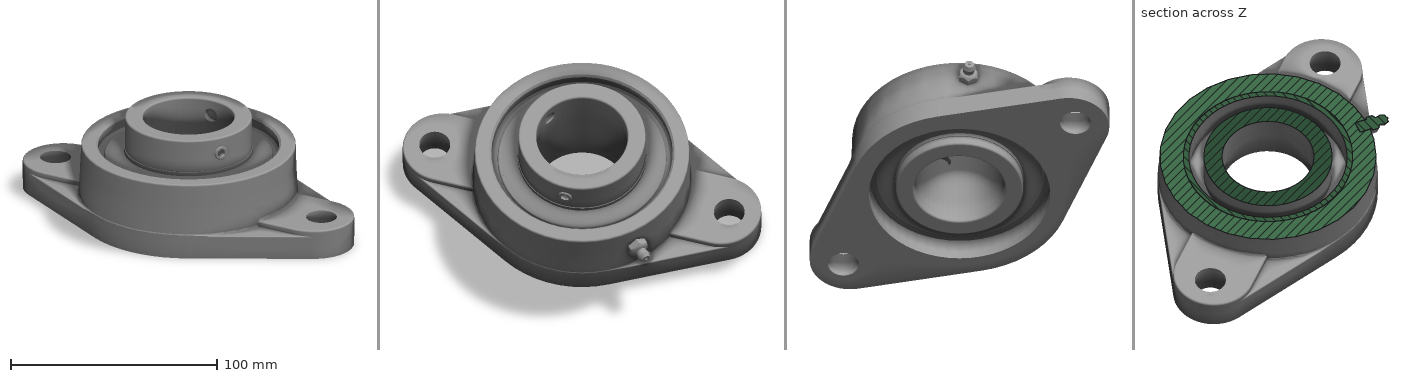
import cadquery as cq
import math


FLANGE_LENGTH = 179.0
WAIST_RADIUS = 53.5
EAR_RADIUS = 19.7
EAR_X = FLANGE_LENGTH / 2 - EAR_RADIUS
PLATE_HEIGHT = 11.8
PLATE_FILLET = 0.5
EAR_HEIGHT = 14.7
BOLT_HOLE_DIAMETER = 15.0
BOLT_HOLE_X = 74.1
CAST_FILLET = 0.9

HUB_RADIUS = 53.3
HUB_TOP = 38.1
HUB_TOP_RADIUS = 52.0
MOUTH_DIAMETER = 88.0
MOUTH_CHAMFER = 0.98
LEDGE_CHAMFER = 1.0

BEARING_Z = 22.0
LEDGE_OFFSET = 9.8
OUTER_RING_DIAMETER = 82.0
OUTER_RING_HALF_WIDTH = 11.0
OUTER_RING_FILLET = 0.9
SEAL_SEAT_DIAMETER = 78.8
OUTER_RING_BORE = 76.6
COLLAR_DIAMETER = 61.8
LAND_DIAMETER = 62.5
LAND_HALF_WIDTH = 13.8
SHAFT_BORE = 44.4
INNER_RING_TOP = 52.3
INNER_RING_BOTTOM = 3.0
INNER_RING_FILLET = 0.9
SEAL_THICKNESS = 1.8
SEAL_RISE = 0.9

SCREW_DIAMETER = 6.8
SCREW_CHAMFER = 0.4
SCREW_Z = 44.2
SCREW_OUTER_END = 31.7
SCREW_INNER_END = 24.5
SCREW_ANGLES = (90.0, -30.0)
SOCKET_FLATS = 4.0
SOCKET_DEPTH = 2.7

NIPPLE_ANGLE = 135.0
NIPPLE_Z = 26.1
NIPPLE_STEM_DIAMETER = 6.0
NIPPLE_STEM_START = 47.5
NIPPLE_HEX_FLATS = 9.0
NIPPLE_HEX_START = 53.2
NIPPLE_HEX_END = 57.1
NIPPLE_HEX_CHAMFER_LENGTH = 1.5
NIPPLE_HEX_FACE_RADIUS = 4.0
NIPPLE_NECK_RADIUS = 2.7
NIPPLE_NECK_START = 57.6
NIPPLE_NECK_END = 58.5
NIPPLE_HEAD_START = 59.0
NIPPLE_HEAD_RADIUS = 3.2
NIPPLE_HEAD_BACK_RADIUS = 2.9
NIPPLE_HEAD_CREST = 60.5
NIPPLE_HEAD_END = 62.6
NIPPLE_TIP_RADIUS = 2.3
NIPPLE_BALL_DIAMETER = 1.49


def radial_plane(angle, height):
    """Plane whose normal points outward from the bearing axis and whose local Y is +Z."""
    direction = math.radians(angle)
    outward = (math.cos(direction), math.sin(direction), 0)
    tangent = (-math.sin(direction), math.cos(direction), 0)
    return cq.Plane(origin=(0, 0, height), xDir=tangent, normal=outward)


def radial_cylinder(angle, height, diameter, start, end):
    """Cylinder along a radial line, between two distances from the bearing axis."""
    plane = radial_plane(angle, height)
    return cq.Workplane(plane).workplane(offset=start).circle(diameter / 2).extrude(end - start)


def revolve_profile(points, plane="XZ"):
    """Solid of revolution about the plane's local Y axis from (radius, distance along axis) points."""
    return cq.Workplane(plane).polyline(points).close().revolve(360, (0, 0), (0, 1))


def flange_prism(height, rounded_waist=True):
    """Ear circles joined by tangents to the waist circle; without the waist arc, the tangents meet."""
    tangent_cos = (WAIST_RADIUS - EAR_RADIUS) / EAR_X
    tangent_sin = math.sqrt(1 - tangent_cos**2)
    waist_x = WAIST_RADIUS * tangent_cos
    waist_y = WAIST_RADIUS * tangent_sin
    apex_y = WAIST_RADIUS / tangent_sin
    ear_x = EAR_X + EAR_RADIUS * tangent_cos
    ear_y = EAR_RADIUS * tangent_sin
    outline = cq.Workplane("XY").moveTo(-ear_x, ear_y)
    for side in (1, -1):
        if rounded_waist:
            outline = outline.lineTo(-side * waist_x, side * waist_y)
            outline = outline.threePointArc((0, side * WAIST_RADIUS), (side * waist_x, side * waist_y))
        else:
            outline = outline.lineTo(0, side * apex_y)
        outline = outline.lineTo(side * ear_x, side * ear_y)
        outline = outline.threePointArc((side * FLANGE_LENGTH / 2, 0), (side * ear_x, -side * ear_y))
    return outline.close().extrude(height)


def base_cove(height):
    """Concave fillet ring where the tapered hub meets a flat face at the given height.

    Its foot reaches below the face to fill the rounded plate edge beside the hub.
    """
    taper = (HUB_RADIUS - HUB_TOP_RADIUS) / (HUB_TOP - PLATE_HEIGHT)
    root = HUB_RADIUS - taper * (height - PLATE_HEIGHT)
    inside = HUB_RADIUS - 2 * CAST_FILLET
    edge = root + CAST_FILLET
    arc_middle = edge - CAST_FILLET * math.sqrt(0.5), height + CAST_FILLET * (1 - math.sqrt(0.5))
    return (
        cq.Workplane("XZ")
        .moveTo(inside, height - PLATE_FILLET)
        .lineTo(edge, height - PLATE_FILLET)
        .lineTo(edge, height)
        .threePointArc(arc_middle, (root - taper * CAST_FILLET, height + CAST_FILLET))
        .lineTo(inside, height + CAST_FILLET)
        .close()
        .revolve(360, (0, 0), (0, 1))
    )


def make_housing_casting():
    """Plate, raised ears and tapered hub, with the cast fillets."""
    plate = flange_prism(PLATE_HEIGHT, rounded_waist=False).faces(">Z").edges().fillet(PLATE_FILLET)
    plate = plate.intersect(flange_prism(PLATE_HEIGHT))
    ears = (
        cq.Workplane("XY")
        .slot2D(FLANGE_LENGTH, 2 * EAR_RADIUS)
        .extrude(EAR_HEIGHT)
        .faces(">Z")
        .edges()
        .fillet(CAST_FILLET)
    )
    hub = revolve_profile(
        [(0, 0), (HUB_RADIUS, 0), (HUB_RADIUS, PLATE_HEIGHT), (HUB_TOP_RADIUS, HUB_TOP), (0, HUB_TOP)]
    )
    hub = hub.faces(">Z").edges().fillet(CAST_FILLET)
    plate_cove = base_cove(PLATE_HEIGHT).intersect(flange_prism(HUB_TOP))
    ear_width = 2 * (EAR_RADIUS - CAST_FILLET)
    ear_band = cq.Workplane("XY").box(FLANGE_LENGTH, ear_width, HUB_TOP, centered=(True, True, False))
    ear_cove = base_cove(EAR_HEIGHT).intersect(ear_band)
    return plate.union(ears).union(hub).union(plate_cove).union(ear_cove)


def make_housing():
    """Casting with a stepped bearing cavity, two bolt holes and the nipple hole."""
    seat = OUTER_RING_DIAMETER / 2
    mouth = MOUTH_DIAMETER / 2
    ledge_top = BEARING_Z + LEDGE_OFFSET
    ledge_bottom = BEARING_Z - LEDGE_OFFSET
    cavity = revolve_profile(
        [
            (0, 0),
            (mouth, 0),
            (mouth, ledge_bottom),
            (seat, ledge_bottom),
            (seat, ledge_top),
            (mouth - LEDGE_CHAMFER, ledge_top),
            (mouth, ledge_top + LEDGE_CHAMFER),
            (mouth, HUB_TOP - MOUTH_CHAMFER),
            (mouth + MOUTH_CHAMFER, HUB_TOP),
            (0, HUB_TOP),
        ]
    )
    bolt_holes = (
        cq.Workplane("XY")
        .pushPoints([(-BOLT_HOLE_X, 0), (BOLT_HOLE_X, 0)])
        .circle(BOLT_HOLE_DIAMETER / 2)
        .extrude(EAR_HEIGHT)
    )
    nipple_hole = radial_cylinder(
        NIPPLE_ANGLE, NIPPLE_Z, NIPPLE_STEM_DIAMETER, NIPPLE_STEM_START, NIPPLE_HEX_START
    )
    return make_housing_casting().cut(cavity).cut(bolt_holes).cut(nipple_hole)


def make_outer_ring():
    """Ring with a seal seat counterbored into each end."""
    ring = (
        cq.Workplane("XY", origin=(0, 0, BEARING_Z))
        .circle(OUTER_RING_DIAMETER / 2)
        .extrude(OUTER_RING_HALF_WIDTH, both=True)
        .faces("<Z or >Z")
        .edges()
        .fillet(OUTER_RING_FILLET)
    )
    bore = OUTER_RING_BORE / 2
    seat = SEAL_SEAT_DIAMETER / 2
    shoulder = OUTER_RING_HALF_WIDTH - SEAL_THICKNESS
    opening = revolve_profile(
        [
            (0, BEARING_Z - OUTER_RING_HALF_WIDTH),
            (seat, BEARING_Z - OUTER_RING_HALF_WIDTH),
            (seat, BEARING_Z - shoulder),
            (bore, BEARING_Z - shoulder),
            (bore, BEARING_Z + shoulder),
            (seat, BEARING_Z + shoulder),
            (seat, BEARING_Z + OUTER_RING_HALF_WIDTH),
            (0, BEARING_Z + OUTER_RING_HALF_WIDTH),
        ]
    )
    return ring.cut(opening)


def make_inner_ring():
    """Long ring with a ground land under the seals and two radial set-screw holes."""
    bore = SHAFT_BORE / 2
    collar = COLLAR_DIAMETER / 2
    land = LAND_DIAMETER / 2
    ring = revolve_profile(
        [
            (bore, INNER_RING_BOTTOM),
            (collar, INNER_RING_BOTTOM),
            (collar, BEARING_Z - LAND_HALF_WIDTH),
            (land, BEARING_Z - LAND_HALF_WIDTH),
            (land, BEARING_Z + LAND_HALF_WIDTH),
            (collar, BEARING_Z + LAND_HALF_WIDTH),
            (collar, INNER_RING_TOP),
            (bore, INNER_RING_TOP),
        ]
    )
    ring = ring.faces("<Z or >Z").edges().fillet(INNER_RING_FILLET)
    for angle in SCREW_ANGLES:
        ring = ring.cut(radial_cylinder(angle, SCREW_Z, SCREW_DIAMETER, 0, SCREW_OUTER_END))
    return ring


def make_seal(side):
    """Shallow conical seal at the upper (+1) or lower (-1) end of the bearing."""
    outer = SEAL_SEAT_DIAMETER / 2
    inner = LAND_DIAMETER / 2
    edge_face = BEARING_Z + side * OUTER_RING_HALF_WIDTH
    edge_back = edge_face - side * SEAL_THICKNESS
    rise = side * SEAL_RISE
    return revolve_profile(
        [(outer, edge_back), (outer, edge_face), (inner, edge_face + rise), (inner, edge_back)]
    )


def make_set_screw(angle):
    """Headless screw with a hexagon socket in its outer end."""
    screw = radial_cylinder(angle, SCREW_Z, SCREW_DIAMETER, SCREW_INNER_END, SCREW_OUTER_END)
    screw = screw.edges("%CIRCLE").chamfer(SCREW_CHAMFER)
    socket = (
        cq.Workplane(radial_plane(angle, SCREW_Z))
        .workplane(offset=SCREW_OUTER_END - SOCKET_DEPTH)
        .polygon(6, SOCKET_FLATS, circumscribed=True)
        .extrude(SOCKET_DEPTH)
    )
    return screw.cut(socket)


def make_grease_nipple():
    """Hexagon base with a necked head and a ball tip, on a stem set in the housing."""
    plane = radial_plane(NIPPLE_ANGLE, NIPPLE_Z)
    stem = radial_cylinder(
        NIPPLE_ANGLE, NIPPLE_Z, NIPPLE_STEM_DIAMETER, NIPPLE_STEM_START, NIPPLE_HEX_START
    )
    hexagon = (
        cq.Workplane(plane)
        .workplane(offset=NIPPLE_HEX_START)
        .polygon(6, NIPPLE_HEX_FLATS, circumscribed=True)
        .extrude(NIPPLE_HEX_END - NIPPLE_HEX_START)
    )
    corner = NIPPLE_HEX_FLATS / math.sqrt(3)
    profile_plane = cq.Plane(origin=plane.origin, xDir=plane.yDir, normal=plane.xDir)
    hex_envelope = revolve_profile(
        [
            (0, NIPPLE_HEX_START),
            (corner, NIPPLE_HEX_START),
            (corner, NIPPLE_HEX_END - NIPPLE_HEX_CHAMFER_LENGTH),
            (NIPPLE_HEX_FACE_RADIUS, NIPPLE_HEX_END),
            (0, NIPPLE_HEX_END),
        ],
        profile_plane,
    )
    head = revolve_profile(
        [
            (0, NIPPLE_HEX_END),
            (NIPPLE_HEX_FACE_RADIUS, NIPPLE_HEX_END),
            (NIPPLE_NECK_RADIUS, NIPPLE_NECK_START),
            (NIPPLE_NECK_RADIUS, NIPPLE_NECK_END),
            (NIPPLE_HEAD_BACK_RADIUS, NIPPLE_HEAD_START),
            (NIPPLE_HEAD_RADIUS, NIPPLE_HEAD_CREST),
            (NIPPLE_TIP_RADIUS, NIPPLE_HEAD_END),
            (0, NIPPLE_HEAD_END),
        ],
        profile_plane,
    )
    ball = cq.Workplane(profile_plane).center(0, NIPPLE_HEAD_END).sphere(NIPPLE_BALL_DIAMETER / 2)
    return stem.union(hexagon.intersect(hex_envelope)).union(head).union(ball)


housing = make_housing()
outer_ring = make_outer_ring()
inner_ring = make_inner_ring()
seals = [make_seal(side) for side in (1, -1)]
set_screws = [make_set_screw(angle) for angle in SCREW_ANGLES]
grease_nipple = make_grease_nipple()

result = cq.Compound.makeCompound(
    [
        housing.val(),
        outer_ring.val(),
        inner_ring.val(),
        *[seal.val() for seal in seals],
        *[screw.val() for screw in set_screws],
        grease_nipple.val(),
    ]
)